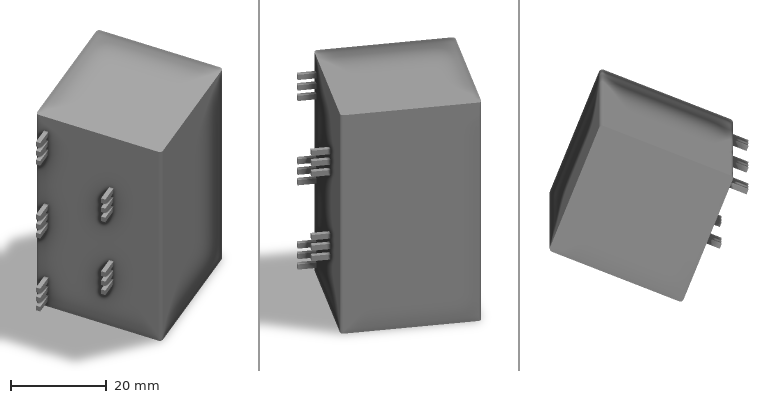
import cadquery as cq

housing_width = 29.0
housing_depth = 30.0
housing_height = 51.8
corner_radius = 0.7

pin_width = 1.0
pin_height = 1.25
pin_length = 4.0
pin_pitch = 2.5
pins_per_group = 3

group_pitch = 10.0
group_count = 5
edge_column_inset = 2.45
column_spacing = 15.0
middle_group_z = -1.05

edge_column_x = -housing_width / 2 + edge_column_inset
column_positions = [edge_column_x, edge_column_x + column_spacing]
pin_face_y = -housing_depth / 2


def centred_positions(count, pitch, centre):
    """Evenly spaced positions, symmetric about the given centre."""
    return [centre + (i - (count - 1) / 2) * pitch for i in range(count)]


def make_housing():
    """Block with its four upright edges rounded."""
    block = cq.Workplane("XY").box(housing_width, housing_depth, housing_height)
    return block.edges("|Z").fillet(corner_radius)


def make_pins():
    """All pins, extruded outward from the -Y face."""
    pin_centres = []
    group_heights = centred_positions(group_count, group_pitch, middle_group_z)
    for index, group_z in enumerate(group_heights):
        column_x = column_positions[index % len(column_positions)]
        for pin_z in centred_positions(pins_per_group, pin_pitch, group_z):
            pin_centres.append((column_x, pin_z))
    pin_plane = cq.Workplane("XZ", origin=(0, pin_face_y, 0))
    return pin_plane.pushPoints(pin_centres).rect(pin_width, pin_height).extrude(pin_length)


result = make_housing().union(make_pins())